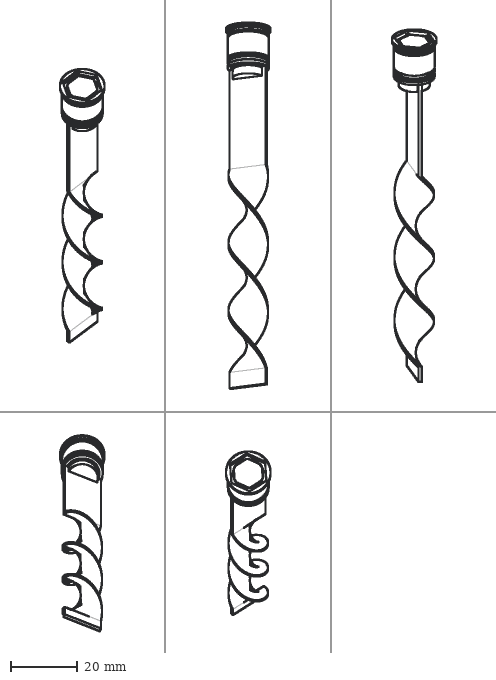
import cadquery as cq

total_height = 112.5
housing_bottom = 100.1
stub_bottom = 97.1

flange_radius = 6.8
body_radius = 6.2
neck_radius = 5.2
stub_radius = 4.7

flange_rim_height = 0.7
flange_taper_height = 0.5
neck_taper_height = 0.5
marking_groove_top = 110.6
marking_groove_width = 0.7
marking_groove_depth = 0.2

recess_flats = 10.6
recess_depth = 1.4
collar_diameter = 9.2
collar_depth = 1.0
boss_flats = 8.4
boss_depth = 0.7

seal_groove_top = 103.3
seal_groove_bottom = 101.0
seal_groove_depth = 0.9
seal_groove_slope = 0.5
seal_height = 1.4
lobe_height = seal_height / 2
lobe_projection = 0.3
seal_groove_radius = body_radius - seal_groove_depth
seal_bottom = (seal_groove_top + seal_groove_bottom - seal_height) / 2

strip_width = 11.9
strip_thickness = 1.0
twist_bottom = 5.0
twist_top = 69.0
half_turns = 3
twist_angle = -180 * half_turns


def revolve_profile(profile):
    """Revolve a closed XZ profile about the Z axis."""
    return profile.close().revolve(360, (0, 0, 0), (0, 1, 0))


def strip_section(bottom):
    """Rectangle of the strip, wide along Y, at the given height."""
    return cq.Workplane("XY", origin=(0, 0, bottom)).rect(strip_thickness, strip_width)


def hex_prism(flats, bottom, top):
    """Hexagonal prism between two heights, with two flats facing along X."""
    corner_diameter = 2 * flats / 3 ** 0.5
    return (
        cq.Workplane("XY", origin=(0, 0, bottom))
        .transformed(rotate=(0, 0, 30))
        .polygon(6, corner_diameter)
        .extrude(top - bottom)
    )


def disc(diameter, bottom, top):
    """Round disc between two heights."""
    return cq.Workplane("XY", origin=(0, 0, bottom)).circle(diameter / 2).extrude(top - bottom)


def make_strip():
    lower_end = strip_section(0).extrude(twist_bottom)
    twisted_part = strip_section(twist_bottom).twistExtrude(twist_top - twist_bottom, twist_angle)
    upper_end = strip_section(twist_top).extrude(housing_bottom - twist_top)
    return lower_end.union(twisted_part).union(upper_end)


def make_housing_blank():
    rim_bottom = total_height - flange_rim_height
    outline = (
        cq.Workplane("XZ")
        .moveTo(0, stub_bottom)
        .lineTo(stub_radius, stub_bottom)
        .lineTo(stub_radius, housing_bottom - neck_taper_height)
        .lineTo(neck_radius, housing_bottom)
        .lineTo(body_radius, housing_bottom)
        .lineTo(body_radius, rim_bottom - flange_taper_height)
        .lineTo(flange_radius, rim_bottom)
        .lineTo(flange_radius, total_height)
        .lineTo(0, total_height)
    )
    return revolve_profile(outline)


def make_marking_groove():
    groove_bottom = marking_groove_top - marking_groove_width
    return (
        cq.Workplane("XY", origin=(0, 0, groove_bottom))
        .circle(flange_radius)
        .circle(body_radius - marking_groove_depth)
        .extrude(marking_groove_width)
    )


def make_seal_groove():
    outline = (
        cq.Workplane("XZ")
        .moveTo(body_radius, seal_groove_bottom)
        .lineTo(seal_groove_radius, seal_groove_bottom + seal_groove_slope)
        .lineTo(seal_groove_radius, seal_groove_top - seal_groove_slope)
        .lineTo(body_radius, seal_groove_top)
    )
    return revolve_profile(outline)


def make_recess():
    """Recess cutter that leaves the round collar and the hexagonal boss standing."""
    recess_floor = total_height - recess_depth
    collar_top = total_height - collar_depth
    boss_top = total_height - boss_depth
    recess = hex_prism(recess_flats, recess_floor, total_height)
    collar = disc(collar_diameter, recess_floor, collar_top)
    boss_rounding = disc(collar_diameter, recess_floor, boss_top)
    boss = hex_prism(boss_flats, recess_floor, boss_top).intersect(boss_rounding)
    return recess.cut(collar).cut(boss)


def make_seal():
    lobe_root_radius = body_radius - lobe_projection
    outline = (
        cq.Workplane("XZ")
        .moveTo(seal_groove_radius, seal_bottom)
        .lineTo(lobe_root_radius, seal_bottom)
    )
    for lobe in range(2):
        lobe_bottom = seal_bottom + lobe * lobe_height
        outline = outline.threePointArc(
            (body_radius, lobe_bottom + lobe_height / 2),
            (lobe_root_radius, lobe_bottom + lobe_height),
        )
    outline = outline.lineTo(seal_groove_radius, seal_bottom + seal_height)
    return revolve_profile(outline)


strip = make_strip()
seal = make_seal()
housing = (
    make_housing_blank()
    .cut(make_marking_groove())
    .cut(make_seal_groove())
    .cut(make_recess())
    .cut(strip)
)

result = cq.Compound.makeCompound([housing.val(), seal.val(), strip.val()])